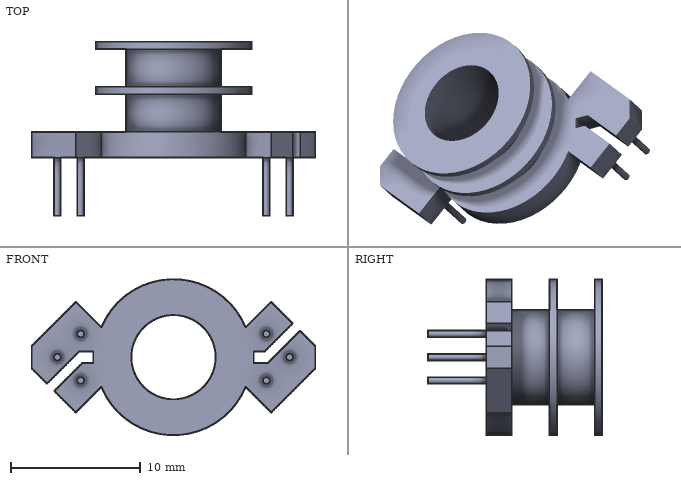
import cadquery as cq

flange_radius = 6.05
hub_radius = 3.7
bore_radius = 3.25
base_thickness = 2.0
flange_thickness = 0.6
winding_width = 2.9

half_length = 11.0
end_half_height = 0.85
arm_inner_offset = 3.28
arm_outer_offset = half_length + end_half_height

slot_inner_x = 6.23
slot_half_height = 0.45
slot_near_offset = 6.62
slot_far_offset = 7.75

pin_radius = 0.26
pin_length = 4.5
pin_outer_x = 9.0
pin_pitch = 1.8

body_length = base_thickness + 2 * (winding_width + flange_thickness)


def cylinder(radius, y_start, length, x=0, z=0):
    """Cylinder along +Y from y_start, centred on (x, z)."""
    plane = cq.Plane(origin=(x, y_start, z), xDir=(1, 0, 0), normal=(0, 1, 0))
    return cq.Workplane(plane).circle(radius).extrude(length)


def base_prism(points):
    """Closed XZ outline extruded through the base thickness."""
    return cq.Workplane("XZ").polyline(points).close().extrude(-base_thickness)


def make_arm():
    """Slotted terminal arm on the +X side."""
    corner_x = (arm_outer_offset + arm_inner_offset) / 2
    corner_z = (arm_outer_offset - arm_inner_offset) / 2
    arm = base_prism([
        (arm_inner_offset, 0),
        (corner_x, corner_z),
        (half_length, end_half_height),
        (half_length, -end_half_height),
        (corner_x, -corner_z),
    ])
    slot_top = half_length - slot_near_offset
    slot = base_prism([
        (slot_inner_x, -slot_half_height),
        (slot_far_offset - slot_half_height, -slot_half_height),
        (slot_far_offset + slot_top, slot_top),
        (slot_near_offset + slot_top, slot_top),
        (slot_near_offset + slot_half_height, slot_half_height),
        (slot_inner_x, slot_half_height),
    ])
    return arm.cut(slot)


def make_pins():
    """Three pins of the +X arm, standing out from the base toward -Y."""
    inner_x = pin_outer_x - pin_pitch
    pins = cq.Workplane("XY")
    for x, z in [(pin_outer_x, 0), (inner_x, pin_pitch), (inner_x, -pin_pitch)]:
        pins = pins.add(cylinder(pin_radius, -pin_length, pin_length, x, z))
    return pins.combine()


result = cylinder(flange_radius, 0, base_thickness)
result = result.union(cylinder(hub_radius, 0, body_length))
for section in (1, 2):
    flange_y = base_thickness + section * winding_width + (section - 1) * flange_thickness
    result = result.union(cylinder(flange_radius, flange_y, flange_thickness))

terminal = make_arm().union(make_pins())
for angle in (0, 180):
    result = result.union(terminal.rotate((0, 0, 0), (0, 1, 0), angle))

result = result.cut(cylinder(bore_radius, 0, body_length))